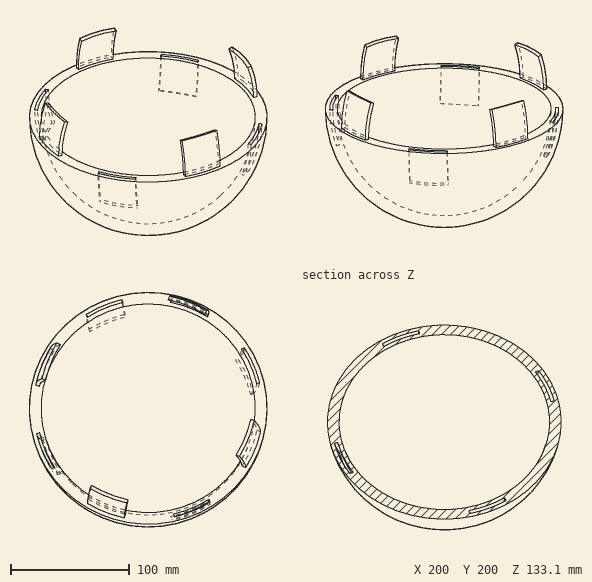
import cadquery as cq
import math

outer_radius = 100
wall = 10
tab_count = 4
tab_sweep = 20

socket_inset = 0.5

inner_radius = outer_radius - wall
tab_inner_radius = inner_radius + wall / 3
tab_outer_radius = outer_radius - wall / 3
tab_width = outer_radius / 3
tab_spacing = 360 / tab_count


def lower_shell():
    """Hemispherical bowl below the rim plane."""
    return (
        cq.Workplane("XZ")
        .moveTo(inner_radius, 0)
        .lineTo(outer_radius, 0)
        .radiusArc((0, -outer_radius), outer_radius)
        .lineTo(0, -inner_radius)
        .radiusArc((inner_radius, 0), -inner_radius)
        .close()
        .revolve(360, (0, 0, 0), (0, 1, 0))
    )


def curved_tab(inset=0):
    """Patch of spherical shell above the rim on the +X side, cut on a radial plane.

    The inset shrinks both spherical faces and both flat sides.
    """
    outer_sphere = cq.Workplane("XY").sphere(tab_outer_radius - inset)
    inner_sphere = cq.Workplane("XY").sphere(tab_inner_radius + inset)
    wedge_height = outer_radius * math.tan(math.radians(tab_sweep))
    wedge = (
        cq.Workplane("XZ")
        .polyline([(0, 0), (outer_radius, 0), (outer_radius, wedge_height)])
        .close()
        .extrude(tab_width / 2 - inset, both=True)
    )
    return outer_sphere.cut(inner_sphere).intersect(wedge)


result = lower_shell()
tab = curved_tab()
socket = curved_tab(socket_inset).mirror("XY")

for index in range(tab_count):
    tab_angle = index * tab_spacing
    socket_angle = tab_angle + tab_spacing / 2
    result = result.union(tab.rotate((0, 0, 0), (0, 0, 1), tab_angle))
    result = result.cut(socket.rotate((0, 0, 0), (0, 0, 1), socket_angle))